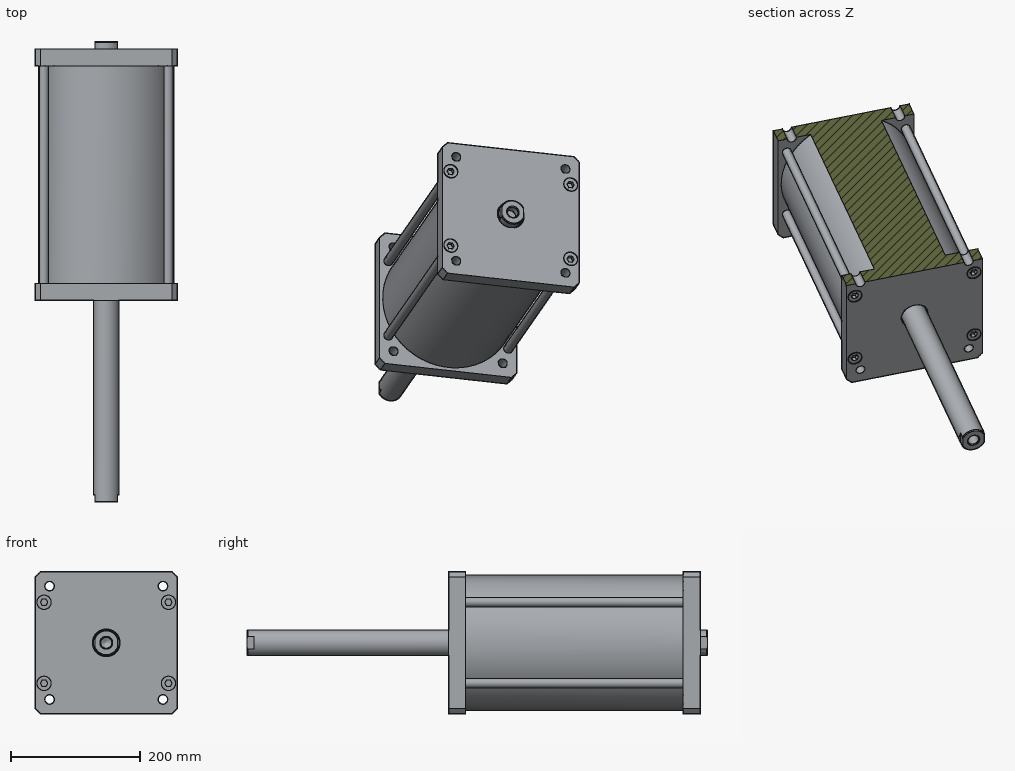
import cadquery as cq
import math

total_length = 711.0
rod_extension = 311.5
plate_thickness = 26.0
rear_extension = 11.5
front_plate_start = rod_extension
front_plate_end = front_plate_start + plate_thickness
rear_plate_end = total_length - rear_extension
rear_plate_start = rear_plate_end - plate_thickness

plate_size = 220.0
corner_chamfer = 8.5
barrel_diameter = 210.0
mount_hole_diameter = 14.0
mount_hole_offset = 87.5

tie_offset_x = 96.0
tie_offset_z = 62.5
tie_rod_diameter = 14.0
screw_recess_diameter = 22.0
screw_recess_depth = 1.5
socket_sides = 6
socket_across_corners = 11.5
socket_depth = 7.0

rod_diameter = 40.0
rod_end_chamfer = 1.5
flat_width = 35.0
flat_length = 11.5
end_hole_diameter = 17.0
end_hole_depth = 28.5
countersink_diameter = 20.0
drill_point_angle = 118

rod_clearance_diameter = 43.0
rod_clearance_depth = 3.5


def cylinder(diameter, start, end, x=0, z=0):
    """Round bar parallel to Y between two Y positions."""
    axis_start = cq.Vector(x, start, z)
    bar = cq.Solid.makeCylinder(diameter / 2, end - start, axis_start, cq.Vector(0, 1, 0))
    return cq.Workplane(bar)


def block(width, length, start, x=0):
    """Box as tall as the plates, centred on Z, running along Y from the start position."""
    box = cq.Workplane("XY").box(width, length, plate_size, centered=(True, False, True))
    return box.translate((x, start, 0))


def four_corners(offset_x, offset_z):
    """Positions mirrored about both the X and Z axes."""
    return [(side_x * offset_x, side_z * offset_z) for side_x in (-1, 1) for side_z in (-1, 1)]


def at_both_ends(tool, front_face, rear_face):
    """A tool made for the front face, together with its mirror image for the rear face."""
    mirrored = tool.mirror("XZ", ((0, (front_face + rear_face) / 2, 0)))
    return tool.add(mirrored).combine()


def end_plate(start):
    return block(plate_size, plate_thickness, start).edges("|Y").chamfer(corner_chamfer)


def screw_recess(x, z):
    """Shallow round recess with a hexagon socket in its floor."""
    recess_floor = front_plate_start + screw_recess_depth
    recess = cylinder(screw_recess_diameter, front_plate_start, recess_floor, x, z)
    socket = (
        cq.Workplane("XZ", origin=(x, front_plate_start, z))
        .polygon(socket_sides, socket_across_corners)
        .extrude(-(screw_recess_depth + socket_depth))
    )
    return recess.union(socket)


def rod_end_hole():
    """Countersunk blind hole with a conical drill point, in the end at Y = 0."""
    hole_radius = end_hole_diameter / 2
    countersink_radius = countersink_diameter / 2
    countersink_depth = countersink_radius - hole_radius
    point_depth = hole_radius / math.tan(math.radians(drill_point_angle / 2))
    return (
        cq.Workplane("XY")
        .lineTo(countersink_radius, 0)
        .lineTo(hole_radius, countersink_depth)
        .lineTo(hole_radius, end_hole_depth)
        .lineTo(0, end_hole_depth + point_depth)
        .close()
        .revolve(360, (0, 0, 0), (0, 1, 0))
    )


def piston_rod():
    rod = cylinder(rod_diameter, 0, total_length).edges().chamfer(rod_end_chamfer)
    flat_cutter_x = (flat_width + rod_diameter) / 2
    for side in (-1, 1):
        flat_cutter = block(rod_diameter, flat_length, 0, side * flat_cutter_x)
        rod = rod.cut(at_both_ends(flat_cutter, 0, total_length))
    return rod.cut(at_both_ends(rod_end_hole(), 0, total_length))


body = cylinder(barrel_diameter, front_plate_start, rear_plate_end)
body = body.union(end_plate(front_plate_start)).union(end_plate(rear_plate_start))
for x, z in four_corners(tie_offset_x, tie_offset_z):
    body = body.union(cylinder(tie_rod_diameter, front_plate_end, rear_plate_start, x, z))

for x, z in four_corners(mount_hole_offset, mount_hole_offset):
    body = body.cut(cylinder(mount_hole_diameter, front_plate_start, rear_plate_end, x, z))
for x, z in four_corners(tie_offset_x, tie_offset_z):
    body = body.cut(at_both_ends(screw_recess(x, z), front_plate_start, rear_plate_end))
rod_clearance = cylinder(
    rod_clearance_diameter, front_plate_start, front_plate_start + rod_clearance_depth)
body = body.cut(at_both_ends(rod_clearance, front_plate_start, rear_plate_end))

result = body.union(piston_rod())